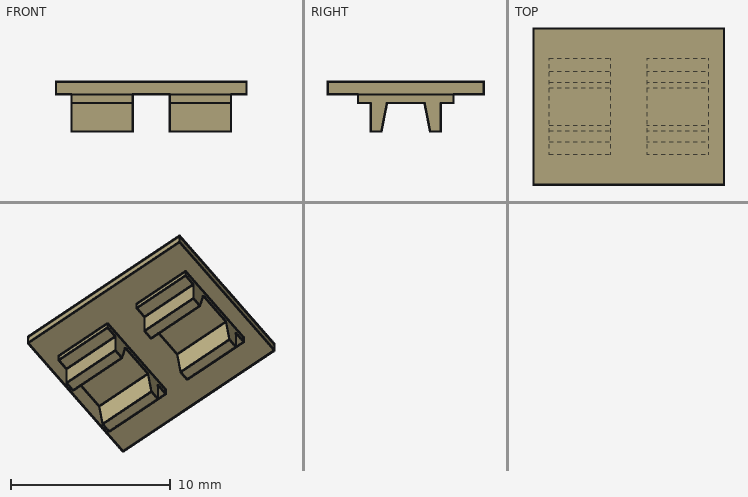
import cadquery as cq

plate_length = 11.95
plate_width = 9.8
plate_thickness = 0.8

clips_span = 10.0
clip_length = 3.85
pad_width = 6.0
pad_thickness = 0.55

total_height = 3.14
legs_span = 4.4
leg_root_thickness = 1.03
leg_tip_thickness = 0.68

plate_bottom = total_height - plate_thickness
pad_bottom = plate_bottom - pad_thickness
clip_center_x = (clips_span - clip_length) / 2


def make_plate():
    return (
        cq.Workplane("XY")
        .workplane(offset=plate_bottom)
        .rect(plate_length, plate_width)
        .extrude(plate_thickness)
    )


def make_clip(center_x):
    """Pad with two legs: one constant YZ profile extruded along X."""
    pad_edge = pad_width / 2
    leg_outside = legs_span / 2
    root_inside = leg_outside - leg_root_thickness
    tip_inside = leg_outside - leg_tip_thickness
    half_profile = [
        (pad_edge, plate_bottom),
        (pad_edge, pad_bottom),
        (leg_outside, pad_bottom),
        (leg_outside, 0),
        (tip_inside, 0),
        (root_inside, pad_bottom),
    ]
    mirrored_half = [(-y, z) for y, z in reversed(half_profile)]
    return (
        cq.Workplane("YZ")
        .workplane(offset=center_x - clip_length / 2)
        .polyline(half_profile + mirrored_half)
        .close()
        .extrude(clip_length)
    )


result = make_plate()
for side in (-1, 1):
    result = result.union(make_clip(side * clip_center_x))